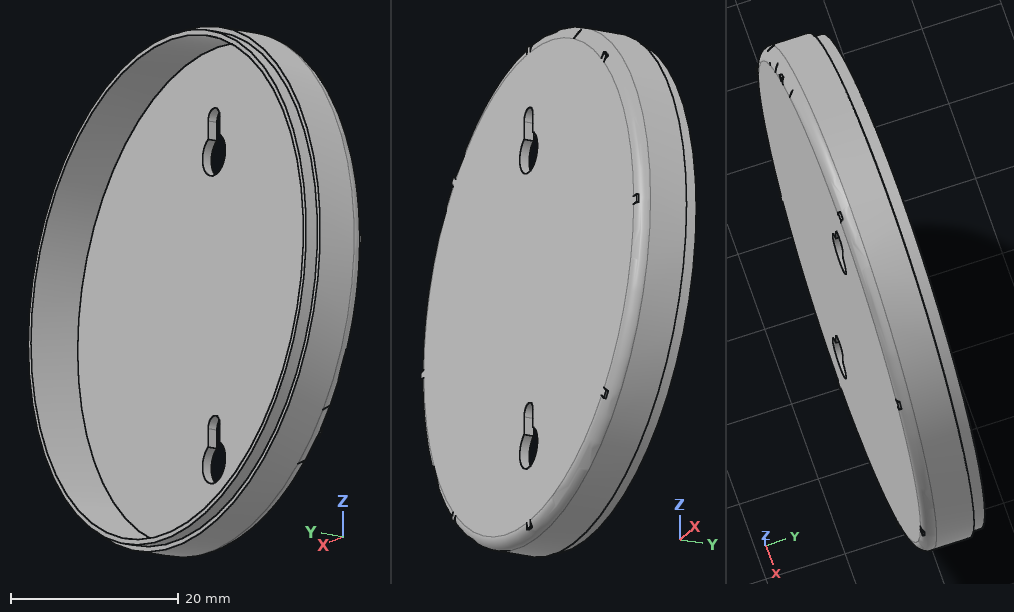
import cadquery as cq

outer_radius = 31.75
total_depth = 7.9
wall = 1.3
front_rounding = 1.5

lip_step = wall / 2
lip_depth = 1.6
lip_radius = outer_radius - lip_step

tab_count = 8
tab_width = 1.0
tab_reach = lip_radius
tab_start = outer_radius - 2 * front_rounding

head_radius = 2.55
neck_width = 2.55
neck_length = 4.5
keyhole_spacing = 38.1
upper_head_z = 17.35


def disc(radius, start_y, depth):
    """Cylinder along +Y, starting at start_y."""
    plane = cq.Workplane("XZ", origin=(0, start_y, 0))
    return plane.circle(radius).extrude(-depth)


def make_shell():
    body_depth = total_depth - lip_depth
    body = disc(outer_radius, 0, body_depth).faces("<Y").edges().fillet(front_rounding)
    lip = disc(lip_radius, body_depth, lip_depth)
    cavity = disc(outer_radius - wall, wall, total_depth - wall)
    return body.union(lip).cut(cavity)


def make_tab(angle):
    """Radial bar as deep as the floor; most of it is buried in the shell."""
    length = tab_reach - tab_start
    tab = cq.Workplane("XY").box(length, wall, tab_width, centered=(False, False, True))
    return tab.translate((tab_start, 0, 0)).rotate((0, 0, 0), (0, 1, 0), angle)


def make_keyhole(head_z):
    head = disc(head_radius, 0, wall).translate((0, 0, head_z))
    neck_end = disc(neck_width / 2, 0, wall).translate((0, 0, head_z + neck_length))
    neck = cq.Workplane("XY").box(neck_width, wall, neck_length, centered=(True, False, False))
    return head.union(neck.translate((0, 0, head_z))).union(neck_end)


result = make_shell()
for index in range(tab_count):
    result = result.union(make_tab(index * 360 / tab_count))
for head_z in (upper_head_z, upper_head_z - keyhole_spacing):
    result = result.cut(make_keyhole(head_z))